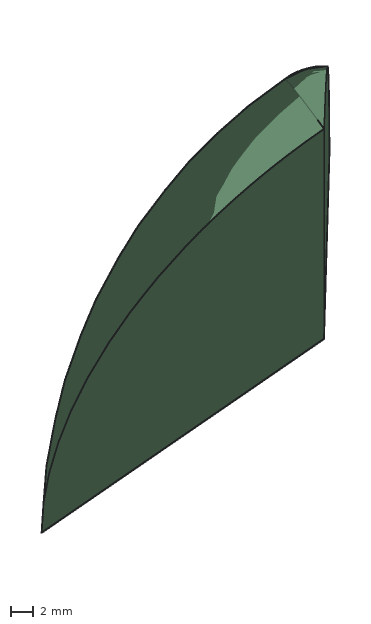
import cadquery as cq
import math

side = 50.0
base_inradius = side / (2 * math.sqrt(3))
height = side * math.sqrt(2 / 3)
half_dihedral = math.degrees(math.acos(1 / 3)) / 2
reach = 3
clearance = 4 * side

left = cq.Vector(-side / 2, base_inradius, 0)
front = cq.Vector(0, -2 * base_inradius, 0)
apex = cq.Vector(0, 0, height)
opposite = cq.Vector(side / 2, base_inradius, 0)
centre = cq.Vector(0, 0, height / 4)


def tetrahedron(a, b, c, d):
    triangles = [(a, b, c), (a, b, d), (b, c, d), (c, a, d)]
    faces = [cq.Face.makeFromWires(cq.Wire.makePolygon(list(t), close=True)) for t in triangles]
    return cq.Workplane(cq.Solid.makeSolid(cq.Shell.makeShell(faces)))


corners = [centre + (corner - centre) * reach for corner in (left, front, apex)]
cone = tetrahedron(centre, *corners)
ball = cq.Workplane(origin=opposite.toTuple()).sphere(side)

edge_direction = left - apex
outward = (apex + left) * 0.5 - opposite
edge_plane = cq.Plane(origin=apex, xDir=edge_direction, normal=edge_direction.cross(outward))
inner_side = (
    cq.Workplane(edge_plane)
    .rect(clearance, clearance)
    .extrude(-clearance)
)
body = cone.intersect(ball).intersect(inner_side)

arc_rise = side * (1 - math.sqrt(3) / 2)
rounded_edge = (
    cq.Workplane(edge_plane)
    .moveTo(0, 0)
    .threePointArc((side / 2, arc_rise), (side, 0))
    .close()
    .revolve(half_dihedral, (0, 0), (1, 0))
)

result = body.union(rounded_edge)